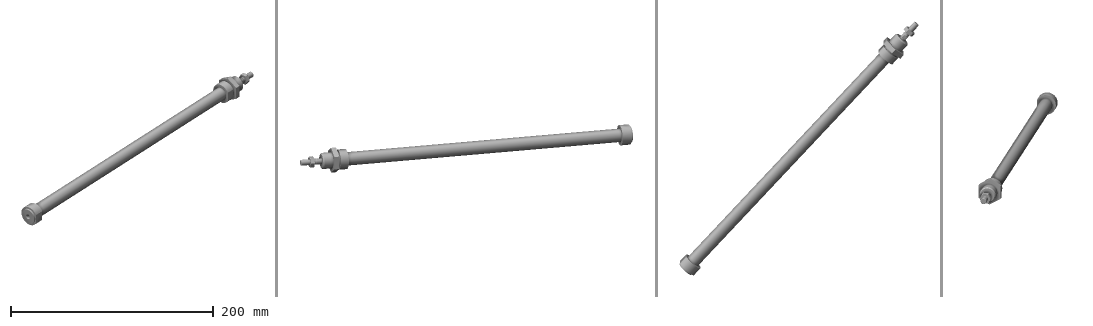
import cadquery as cq
import math

LENGTH = 340.0
TIP_Y = LENGTH / 2
REAR_Y = -LENGTH / 2

ROD_D = 6.0
THREAD_D = 5.8
TIP_CHAMFER = 0.5
THREAD_LENGTH = 14.5
SHOULDER_CHAMFER = 0.7
FLAT_START = 16.3
FLAT_LENGTH = 3.7
FLAT_WIDTH = 5.0
ROD_LENGTH = 46.5

ROD_NUT_FLATS = 10.0
ROD_NUT_START = 9.0
ROD_NUT_THICKNESS = 4.0
ROD_NUT_CHAMFER = 0.7

NECK_D = 16.0
NECK_START = 21.0
NECK_CHAMFER = 1.0
CAP_D = 20.0
CAP_FLAT_X = 9.0
FRONT_CAP_START = 38.5
FRONT_CAP_LENGTH = 8.0
TUBE_D = 13.3
REAR_CAP_LENGTH = 11.2
REAR_BOSS_LENGTH = 1.7
PORT_MOUTH_D = 5.0
PORT_D = 3.7
PORT_DEPTH = 6.8
PORT_CHAMFER = 0.7

MOUNT_NUT_FLATS = 22.0
MOUNT_NUT_START = 31.3
MOUNT_NUT_THICKNESS = 5.0


def behind_tip(distance):
    """Y position at a distance behind the rod tip."""
    return TIP_Y - distance


def workplane_at(y):
    """Workplane at height y whose extrusions run toward -Y."""
    return cq.Workplane("XZ", origin=(0, y, 0))


def cylinder(diameter, y, length):
    return workplane_at(y).circle(diameter / 2).extrude(length)


def hex_nut(flats, bore, y, thickness, turn):
    """Hexagonal nut; turn is the angle of its first corner from +X."""
    corners_d = flats / math.cos(math.pi / 6)
    blank = workplane_at(y).polygon(6, corners_d).extrude(thickness)
    blank = blank.rotate((0, 0, 0), (0, 1, 0), turn)
    return blank.cut(cylinder(bore, y, thickness))


def end_cap(y, length):
    """Round cap with one flat on its +X side."""
    trim_plane = workplane_at(y).center(CAP_FLAT_X + CAP_D / 2, 0)
    return cylinder(CAP_D, y, length).cut(trim_plane.rect(CAP_D, CAP_D).extrude(length))


def make_rod():
    thread = cylinder(THREAD_D, TIP_Y, THREAD_LENGTH).faces(">Y").chamfer(TIP_CHAMFER)
    shank = cylinder(ROD_D, behind_tip(THREAD_LENGTH), ROD_LENGTH - THREAD_LENGTH)
    shank = shank.faces(">Y").chamfer(SHOULDER_CHAMFER)
    flat_plane = workplane_at(behind_tip(FLAT_START))
    flat_ring = flat_plane.rect(2 * ROD_D, 2 * ROD_D).rect(2 * ROD_D, FLAT_WIDTH).extrude(FLAT_LENGTH)
    return thread.union(shank).cut(flat_ring)


def make_rod_nut():
    """Nut with corners on the X axis and chamfered corners on its outer face."""
    y = behind_tip(ROD_NUT_START)
    nut = hex_nut(ROD_NUT_FLATS, THREAD_D, y, ROD_NUT_THICKNESS, 0)
    corners_d = ROD_NUT_FLATS / math.cos(math.pi / 6)
    envelope = cylinder(corners_d, y, ROD_NUT_THICKNESS).faces(">Y").chamfer(ROD_NUT_CHAMFER)
    return nut.intersect(envelope)


def make_mount_nut():
    """Nut with flats facing +X and -X."""
    return hex_nut(MOUNT_NUT_FLATS, NECK_D, behind_tip(MOUNT_NUT_START), MOUNT_NUT_THICKNESS, 30)


def make_housing():
    neck = cylinder(NECK_D, behind_tip(NECK_START), FRONT_CAP_START - NECK_START)
    neck = neck.faces(">Y").chamfer(NECK_CHAMFER)
    front_cap = end_cap(behind_tip(FRONT_CAP_START), FRONT_CAP_LENGTH)
    tube_start = behind_tip(FRONT_CAP_START + FRONT_CAP_LENGTH)
    rear_cap_y = REAR_Y + REAR_CAP_LENGTH
    tube = cylinder(TUBE_D, tube_start, tube_start - rear_cap_y)
    rear_cap = end_cap(rear_cap_y, REAR_CAP_LENGTH - REAR_BOSS_LENGTH)
    rear_boss = cylinder(NECK_D, REAR_Y + REAR_BOSS_LENGTH, REAR_BOSS_LENGTH)
    body = neck.union(front_cap).union(tube).union(rear_cap).union(rear_boss)

    rod_bore = cylinder(ROD_D, behind_tip(NECK_START), ROD_LENGTH - NECK_START)
    mouth_plane = workplane_at(REAR_Y + PORT_CHAMFER)
    mouth = mouth_plane.circle(PORT_D / 2).workplane(offset=PORT_CHAMFER).circle(PORT_MOUTH_D / 2).loft()
    port = cylinder(PORT_D, REAR_Y + PORT_DEPTH, PORT_DEPTH)
    return body.cut(rod_bore).cut(port).cut(mouth)


rod = make_rod()
rod_nut = make_rod_nut()
mount_nut = make_mount_nut()
housing = make_housing()

result = cq.Compound.makeCompound([rod.val(), rod_nut.val(), mount_nut.val(), housing.val()])